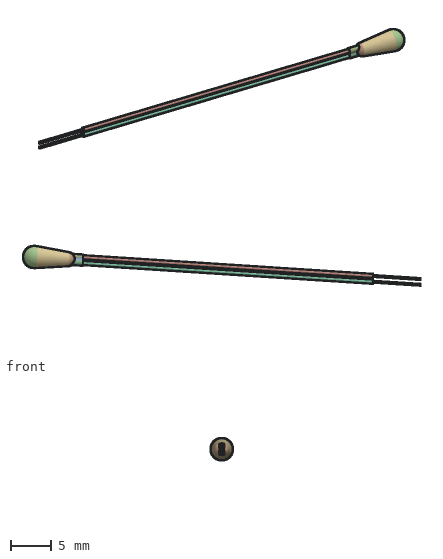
import math

import cadquery as cq

total_length = 50.0
bead_tip_y = total_length / 2
wire_end_y = -total_length / 2

head_radius = 1.4
tail_radius = 0.9
bead_length = 6.5
head_centre_y = bead_tip_y - head_radius
tail_centre_y = bead_tip_y - bead_length + tail_radius

lead_pitch = 0.76
insulation_diameter = 0.55
conductor_diameter = 0.25
bare_length = 6.0
insulation_end_y = wire_end_y + bare_length

neck_end_from_tip = 7.5
neck_end_y = bead_tip_y - neck_end_from_tip
neck_lobe_radius = 0.36
neck_valley_radius = 0.3


def arc_point(centre_y, radius, angle):
    """Point on a bead sphere's outline; the angle is measured from +X towards +Y."""
    return (radius * math.cos(angle), centre_y + radius * math.sin(angle))


def make_bead():
    """Solid of revolution around Y."""
    taper = math.asin((head_radius - tail_radius) / (head_centre_y - tail_centre_y))
    head_mid_angle = (math.pi / 2 - taper) / 2
    tail_mid_angle = (-math.pi / 2 - taper) / 2
    profile = (
        cq.Workplane("XY")
        .moveTo(0, bead_tip_y)
        .lineTo(0, tail_centre_y - tail_radius)
        .threePointArc(
            arc_point(tail_centre_y, tail_radius, tail_mid_angle),
            arc_point(tail_centre_y, tail_radius, -taper),
        )
        .lineTo(*arc_point(head_centre_y, head_radius, -taper))
        .threePointArc(
            arc_point(head_centre_y, head_radius, head_mid_angle),
            (0, bead_tip_y),
        )
        .close()
    )
    return profile.revolve(360, (0, 0, 0), (0, 1, 0))


def make_neck():
    """Two round lobes blended by a concave arc on each flank."""
    lobe_z = lead_pitch / 2
    centre_distance = neck_lobe_radius + neck_valley_radius
    valley_x = math.sqrt(centre_distance**2 - lobe_z**2)
    waist_x = valley_x - neck_valley_radius

    blend = neck_lobe_radius / centre_distance
    tangent_x = valley_x * blend
    tangent_z = lobe_z * (1 - blend)
    top_z = lobe_z + neck_lobe_radius

    return (
        cq.Workplane("XZ", origin=(0, tail_centre_y, 0))
        .moveTo(tangent_x, tangent_z)
        .threePointArc((0, top_z), (-tangent_x, tangent_z))
        .threePointArc((-waist_x, 0), (-tangent_x, -tangent_z))
        .threePointArc((0, -top_z), (tangent_x, -tangent_z))
        .threePointArc((waist_x, 0), (tangent_x, tangent_z))
        .close()
        .extrude(tail_centre_y - neck_end_y)
    )


def make_rod(z, diameter, end_y):
    """Round rod running from inside the bead to end_y."""
    return (
        cq.Workplane("XZ", origin=(0, tail_centre_y, z))
        .circle(diameter / 2)
        .extrude(tail_centre_y - end_y)
    )


result = make_bead().union(make_neck())
for lead_z in (-lead_pitch / 2, lead_pitch / 2):
    result = result.union(make_rod(lead_z, insulation_diameter, insulation_end_y))
    result = result.union(make_rod(lead_z, conductor_diameter, wire_end_y))